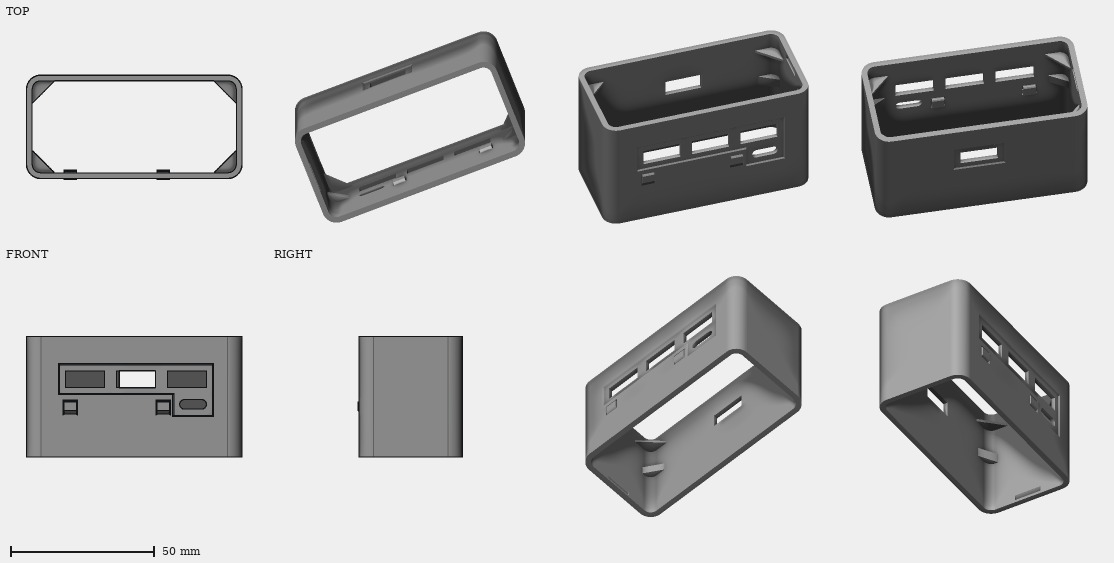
import cadquery as cq

length = 75.0
depth = 36.0
height = 42.0
wall = 2.0
outer_radius = 5.0
inner_length = length - 2 * wall
inner_depth = depth - 2 * wall
front_y = -depth / 2
mid_z = height / 2

panel_x = 0.6
panel_width = 54.0
panel_left = panel_x - panel_width / 2
panel_right = panel_x + panel_width / 2
panel_step_x = 13.35
panel_top = mid_z + 11.55
panel_step_z = mid_z + 0.75
panel_bottom = mid_z - 6.9
panel_recess = 0.45

window_width = 13.6
window_height = 5.85
window_pitch = 17.7
window_z = mid_z + 6.1

port_length = 9.3
port_height = 3.3
port_x = panel_x + window_pitch + (window_width - port_length) / 2
port_z = mid_z - 2.6

back_window_width = 13.2
back_window_left = -5.2
back_window_x = back_window_left + back_window_width / 2
back_panel_margin = 2.6

button_centers = (-22.2, 10.05)
button_hole_width = 5.1
button_hole_height = 4.95
button_hole_bottom = mid_z - 6.0
button_side_gap = 0.4
button_top_gap = 0.45
button_width = button_hole_width - 2 * button_side_gap
button_top = button_hole_bottom + button_hole_height - button_top_gap
button_front_protrusion = 0.3
button_back_protrusion = 0.9
button_front_y = front_y - button_front_protrusion
button_back_y = front_y + wall + button_back_protrusion
button_top_chamfer = 0.4
button_slope_height = 1.2
button_slope_top = button_hole_bottom + button_slope_height
undercut_y = front_y + 1.3

ledge_leg = 7.8
ledge_thickness = 1.0
ledge_top = height - 6.15
stop_leg_x = 6.75
stop_leg_y = 4.0
stop_height = 3.5
stop_top = mid_z + 2.85

groove_length = 10.35
groove_edge_distance = 1.0
square_groove_height = 2.25
square_groove_depth = 1.1
v_groove_depth = 1.0


def rounded_block(size_x, size_y, radius):
    return cq.Workplane("XY").rect(size_x, size_y).extrude(height).edges("|Z").fillet(radius)


def corner_supports(leg_x, leg_y, top, thickness):
    """Triangular prisms filling the four corners of the inside."""
    supports = cq.Workplane("XY")
    for side_x in (-1, 1):
        for side_y in (-1, 1):
            corner_x = side_x * inner_length / 2
            corner_y = side_y * inner_depth / 2
            supports = supports.add(
                cq.Workplane("XY", origin=(0, 0, top - thickness))
                .moveTo(corner_x, corner_y)
                .lineTo(corner_x - side_x * leg_x, corner_y)
                .lineTo(corner_x, corner_y - side_y * leg_y)
                .close()
                .extrude(thickness)
            )
    return supports.combine()


def wall_opening(x, z, width, opening_height, y):
    """Cutter passing through the wall whose middle lies at y."""
    return cq.Workplane("XY").box(width, 2 * wall, opening_height).translate((x, y, z))


def sloped_recess(outer, inner):
    """Recess in the front face, narrowing from the outer outline to the inner one."""
    return (
        cq.Workplane("XZ", origin=(0, front_y, 0))
        .polyline(outer)
        .close()
        .workplane(offset=-panel_recess)
        .polyline(inner)
        .close()
        .loft(ruled=True)
    )


def front_panel_outline(inset):
    return [
        (panel_left + inset, panel_top - inset),
        (panel_right - inset, panel_top - inset),
        (panel_right - inset, panel_bottom + inset),
        (panel_step_x + inset, panel_bottom + inset),
        (panel_step_x + inset, panel_step_z + inset),
        (panel_left + inset, panel_step_z + inset),
    ]


def back_panel_outline(inset):
    half_width = back_window_width / 2 + back_panel_margin - inset
    half_height = window_height / 2 + back_panel_margin - inset
    return [
        (back_window_x - half_width, window_z - half_height),
        (back_window_x + half_width, window_z - half_height),
        (back_window_x + half_width, window_z + half_height),
        (back_window_x - half_width, window_z + half_height),
    ]


def prism_along_x(profile, x, width):
    """Profile of (Y, Z) points extruded along X, centred on x."""
    return cq.Workplane("YZ", origin=(x - width / 2, 0, 0)).polyline(profile).close().extrude(width)


def button_undercut(x):
    """Gap below the button, running inward and down at 45 degrees to a blind end."""
    run = undercut_y - front_y
    profile = [
        (front_y, button_hole_bottom),
        (undercut_y, button_hole_bottom - run),
        (undercut_y, button_hole_bottom),
    ]
    return prism_along_x(profile, x, button_hole_width)


def button(x):
    """Chamfered block whose 45 degree underside runs down into the wall."""
    inner_y = front_y + wall
    root_z = button_slope_top - (undercut_y - button_front_y)
    profile = [
        (button_front_y, button_slope_top),
        (button_front_y, button_top - button_top_chamfer),
        (button_front_y + button_top_chamfer, button_top),
        (button_back_y - button_top_chamfer, button_top),
        (button_back_y, button_top - button_top_chamfer),
        (button_back_y, root_z + button_back_y - inner_y),
        (inner_y, root_z),
        (undercut_y, root_z),
    ]
    return prism_along_x(profile, x, button_width)


def snap_grooves(side):
    """Square top groove and V-shaped bottom groove of one end wall."""
    top_z = height - groove_edge_distance - square_groove_height / 2
    bottom_z = groove_edge_distance + v_groove_depth
    square = cq.Workplane("XY").box(2 * square_groove_depth, groove_length, square_groove_height)
    v_shape = (
        cq.Workplane("XZ", origin=(0, groove_length / 2, 0))
        .polyline([(0, -v_groove_depth), (side * v_groove_depth, 0), (0, v_groove_depth)])
        .close()
        .extrude(groove_length)
    )
    wall_x = side * inner_length / 2
    return square.translate((wall_x, 0, top_z)).union(v_shape.translate((wall_x, 0, bottom_z)))


outside = rounded_block(length, depth, outer_radius)
result = outside.cut(rounded_block(inner_length, inner_depth, outer_radius - wall))
result = result.union(corner_supports(ledge_leg, ledge_leg, ledge_top, ledge_thickness))
result = result.union(corner_supports(stop_leg_x, stop_leg_y, stop_top, stop_height))
result = result.intersect(outside)

front_mid_y = front_y + wall / 2
result = result.cut(sloped_recess(front_panel_outline(0), front_panel_outline(panel_recess)))
for step in (-1, 0, 1):
    window_x = panel_x + step * window_pitch
    result = result.cut(wall_opening(window_x, window_z, window_width, window_height, front_mid_y))
port = cq.Workplane("XZ").slot2D(port_length, port_height).extrude(wall, both=True)
result = result.cut(port.translate((port_x, front_mid_y, port_z)))

back_recess = sloped_recess(back_panel_outline(0), back_panel_outline(panel_recess)).mirror("XZ")
result = result.cut(back_recess)
result = result.cut(
    wall_opening(back_window_x, window_z, back_window_width, window_height, -front_mid_y)
)

for side in (-1, 1):
    result = result.cut(snap_grooves(side))

button_hole_z = button_hole_bottom + button_hole_height / 2
for x in button_centers:
    hole = wall_opening(x, button_hole_z, button_hole_width, button_hole_height, front_mid_y)
    result = result.cut(hole).cut(button_undercut(x)).union(button(x))